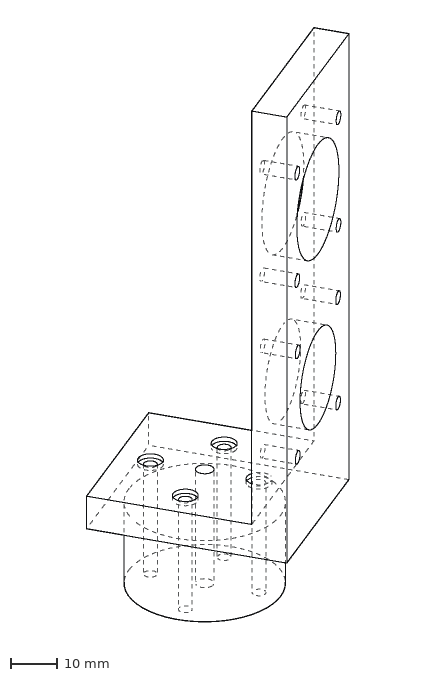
import cadquery as cq

length = 46.0
width = 40.0
height = 130.0
thickness = 8.0

boss_diameter = 35.0
boss_height = 20.0
boss_x = 20.0
center_hole_diameter = 4.0
screw_hole_diameter = 3.0
counterbore_diameter = 5.6
counterbore_depth = 1.0
screw_circle_radius = 12.5

upper_opening_diameter = 27.0
upper_hole_spacing = 26.5
upper_opening_z = height - 30.5
lower_opening_diameter = 23.0
lower_hole_spacing = 26.0
opening_pitch = 44.0
lower_opening_z = upper_opening_z - opening_pitch

foot_top_z = boss_height + thickness
middle_y = width / 2


def make_bracket():
    """L-shaped bracket standing on its round boss; the boss bottom is at Z = 0."""
    foot = cq.Workplane("XY").box(length, width, thickness, centered=False)
    wall = cq.Workplane("XY").box(thickness, width, height - boss_height, centered=False)
    bracket = foot.union(wall.translate((length - thickness, 0, 0)))
    boss = cq.Workplane("XY").center(boss_x, middle_y).circle(boss_diameter / 2).extrude(boss_height)
    return bracket.translate((0, 0, boss_height)).union(boss)


def cut_foot_holes(body):
    """Center hole and four counterbored holes, all passing through foot and boss."""
    foot_face = cq.Workplane("XY", origin=(boss_x, middle_y, foot_top_z))
    center_hole = foot_face.circle(center_hole_diameter / 2).extrude(-foot_top_z)
    screws = foot_face.polarArray(screw_circle_radius, 0, 360, 4)
    screw_holes = screws.circle(screw_hole_diameter / 2).extrude(-foot_top_z)
    counterbores = screws.circle(counterbore_diameter / 2).extrude(-counterbore_depth)
    return body.cut(center_hole).cut(screw_holes).cut(counterbores)


def cut_wall_opening(body, center_z, opening_diameter, hole_spacing):
    """Large round opening and its square of screw holes through the wall."""
    wall_face = cq.Workplane("YZ", origin=(length - thickness, middle_y, center_z))
    opening = wall_face.circle(opening_diameter / 2).extrude(thickness)
    screws = wall_face.rarray(hole_spacing, hole_spacing, 2, 2)
    screw_holes = screws.circle(screw_hole_diameter / 2).extrude(thickness)
    return body.cut(opening).cut(screw_holes)


result = make_bracket()
result = cut_foot_holes(result)
result = cut_wall_opening(result, upper_opening_z, upper_opening_diameter, upper_hole_spacing)
result = cut_wall_opening(result, lower_opening_z, lower_opening_diameter, lower_hole_spacing)